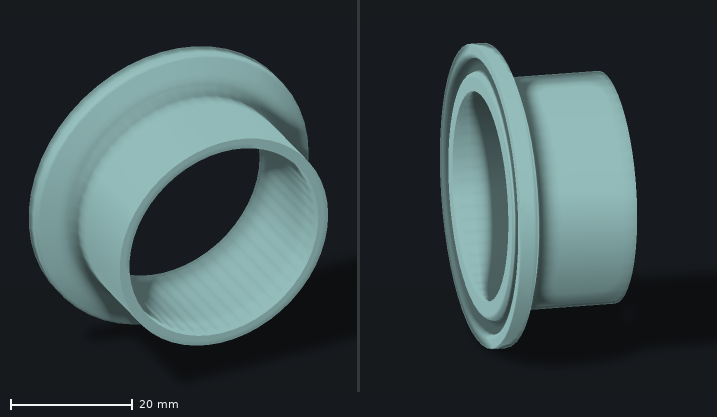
import cadquery as cq
import math

length = 21.5
flange_radius = 25.25
tube_radius = 19.25
bore_radius = 17.4

rim_edge_radius = 0.15
back_angle = math.radians(20)
back_corner_x = 2.85
back_edge_radius = 0.8
neck_fillet_radius = 2.0

groove_outer_radius = 23.7
groove_inner_radius = 19.75
groove_flank_angle = math.radians(70)
groove_lip_radius = 0.8
groove_bottom_radius = 1.15


def arc_point(center, radius, angle):
    """Point on an arc; the angle is measured from +X towards +Y."""
    return (
        center[0] + radius * math.cos(angle),
        center[1] + radius * math.sin(angle),
    )


def add_arc(sketch, center, radius, start_angle, end_angle):
    """Continue the outline with an arc between two angles."""
    middle = arc_point(center, radius, (start_angle + end_angle) / 2)
    end = arc_point(center, radius, end_angle)
    return sketch.threePointArc(middle, end)


def make_body():
    """Flange and tube without the gasket groove."""
    quarter_turn = math.pi / 2
    tangent_factor = math.tan((quarter_turn - back_angle) / 2)

    rim_center = (rim_edge_radius, flange_radius - rim_edge_radius)
    edge_center = (
        back_corner_x - back_edge_radius * tangent_factor,
        flange_radius - back_edge_radius,
    )
    neck_corner_x = back_corner_x + (flange_radius - tube_radius) * math.tan(back_angle)
    neck_center = (
        neck_corner_x + neck_fillet_radius * tangent_factor,
        tube_radius + neck_fillet_radius,
    )

    outline = cq.Workplane("XY").moveTo(0, bore_radius).lineTo(0, rim_center[1])
    outline = add_arc(outline, rim_center, rim_edge_radius, math.pi, quarter_turn)
    outline = outline.lineTo(edge_center[0], flange_radius)
    outline = add_arc(outline, edge_center, back_edge_radius, quarter_turn, back_angle)
    outline = outline.lineTo(*arc_point(neck_center, neck_fillet_radius, math.pi + back_angle))
    outline = add_arc(outline, neck_center, neck_fillet_radius, math.pi + back_angle, 3 * quarter_turn)
    outline = outline.lineTo(length, tube_radius).lineTo(length, bore_radius).close()
    return outline.revolve(360, (0, 0, 0), (1, 0, 0))


def make_groove():
    """Ring cut from the sealing face: rounded lips, straight flanks and a round bottom."""
    outer_center = (groove_lip_radius, groove_outer_radius)
    inner_center = (groove_lip_radius, groove_inner_radius)

    half_width = (groove_outer_radius - groove_inner_radius) / 2
    arc_radii = groove_lip_radius + groove_bottom_radius
    flank_gap = half_width - arc_radii * math.sin(groove_flank_angle)
    bottom_center = (
        groove_lip_radius
        - arc_radii * math.cos(groove_flank_angle)
        + flank_gap * math.tan(groove_flank_angle),
        groove_inner_radius + half_width,
    )
    outer_lip_end = math.pi + groove_flank_angle
    inner_lip_start = math.pi - groove_flank_angle

    outline = cq.Workplane("XY").moveTo(0, groove_outer_radius)
    outline = add_arc(outline, outer_center, groove_lip_radius, math.pi, outer_lip_end)
    outline = outline.lineTo(*arc_point(bottom_center, groove_bottom_radius, groove_flank_angle))
    outline = add_arc(
        outline, bottom_center, groove_bottom_radius, groove_flank_angle, -groove_flank_angle
    )
    outline = outline.lineTo(*arc_point(inner_center, groove_lip_radius, inner_lip_start))
    outline = add_arc(outline, inner_center, groove_lip_radius, inner_lip_start, math.pi)
    return outline.close().revolve(360, (0, 0, 0), (1, 0, 0))


result = make_body().cut(make_groove())